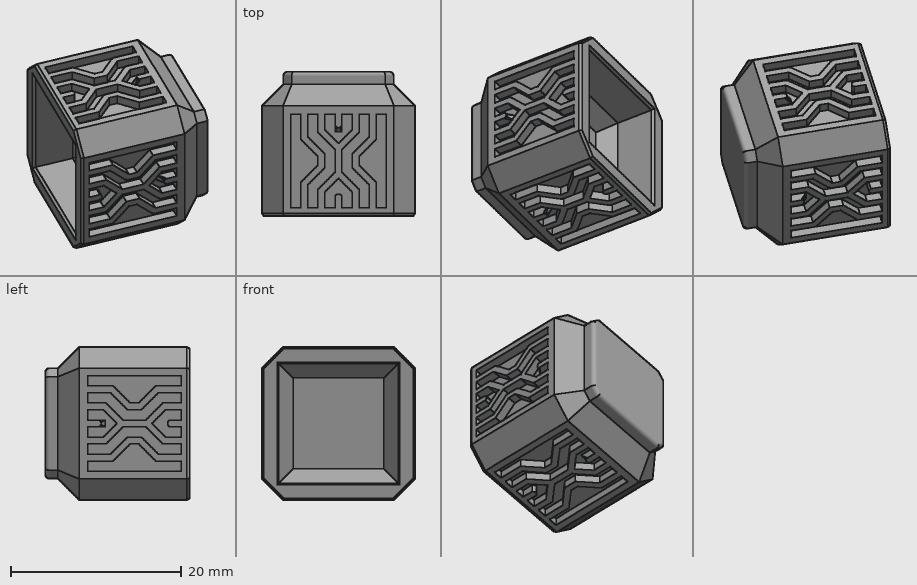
import cadquery as cq
import math

block_width = 18.0
block_corner = 2.48
block_length = 13.0
front_bevel_inset = 0.2
front_bevel_depth = 0.35

taper_length = 2.5
neck_width = block_width - 2 * taper_length
neck_corner = 1.0
neck_length = 1.5
neck_round = 0.5

cavity_width = 14.0
cavity_bevel = 0.2
cavity_bevel_depth = 0.36
cavity_bottom_width = 10.7
cavity_straight_depth = 5.0
cavity_depth = 7.0

recess_width = 11.2
recess_length = 11.0
recess_front_margin = 1.0
recess_depth = 1.12
recess_center_y = recess_front_margin + recess_length / 2

rib_width = 0.8
rib_pitch = 2.02
inner_waist = 1.5
outer_waist = 0.67
tab_tip = 3.9
tab_rise = 0.23
ramp_toe = 3.4
ramp_drop = 0.25
ramp_corner_width = 0.23
ramp_corner_length = 0.2


def depth_plane(y):
    """Workplane across the part at depth y, with its normal toward +Y."""
    return cq.Workplane(cq.Plane(origin=(0, y, 0), xDir=(1, 0, 0), normal=(0, 1, 0)))


def octagon(width, corner):
    """Points of a square with its four corners cut at 45 degrees."""
    half = width / 2
    flat = half - corner
    return [
        (half, flat), (flat, half), (-flat, half), (-half, flat),
        (-half, -flat), (-flat, -half), (flat, -half), (half, -flat),
    ]


def octagon_loft(y_start, start, y_end, end):
    """Straight-sided solid between two octagons, each given as (width, corner)."""
    return (
        depth_plane(y_start).polyline(octagon(*start)).close()
        .workplane(offset=y_end - y_start).polyline(octagon(*end)).close()
        .loft(ruled=True, combine=True)
    )


def square_loft(y_start, width_start, y_end, width_end):
    """Flat-sided solid between two centred squares."""
    return (
        depth_plane(y_start).rect(width_start, width_start)
        .workplane(offset=y_end - y_start).rect(width_end, width_end)
        .loft(ruled=True, combine=True)
    )


def make_body():
    section = (block_width, block_corner)
    neck_section = (neck_width, neck_corner)
    bevel_section = (
        block_width - 2 * front_bevel_inset,
        block_corner - front_bevel_inset * (2 - math.sqrt(2)),
    )
    taper_end = block_length + taper_length
    bevel = octagon_loft(0, bevel_section, front_bevel_depth, section)
    prism = octagon_loft(front_bevel_depth, section, block_length, section)
    taper = octagon_loft(block_length, section, taper_end, neck_section)
    neck = (
        depth_plane(taper_end).polyline(octagon(*neck_section)).close()
        .extrude(neck_length).faces(">Y").edges().fillet(neck_round)
    )
    return bevel.union(prism).union(taper).union(neck)


def make_cavity():
    mouth = square_loft(0, cavity_width + 2 * cavity_bevel, cavity_bevel_depth, cavity_width)
    straight = square_loft(cavity_bevel_depth, cavity_width, cavity_straight_depth, cavity_width)
    bottom = square_loft(cavity_straight_depth, cavity_width, cavity_depth, cavity_bottom_width)
    return mouth.union(straight).union(bottom)


def recess_plane():
    """Plane of the recess floor on the +Z side, centred on the recess."""
    return cq.Workplane("XY", origin=(0, recess_center_y, block_width / 2 - recess_depth))


def make_bent_rib(x_waist, half_waist, side):
    """Rib that runs straight at its waist and steps outward one pitch at 45 degrees."""
    bend_angle = 45
    miter = math.tan(math.radians(bend_angle / 2))
    half_length = recess_length / 2

    def edge(offset):
        x_inner = x_waist + offset
        x_outer = x_inner + rib_pitch
        y_inner = half_waist - offset * miter
        y_outer = y_inner + rib_pitch
        return [
            (side * x_outer, -half_length), (side * x_outer, -y_outer), (side * x_inner, -y_inner),
            (side * x_inner, y_inner), (side * x_outer, y_outer), (side * x_outer, half_length),
        ]

    outline = edge(-rib_width / 2) + edge(rib_width / 2)[::-1]
    return recess_plane().polyline(outline).close().extrude(recess_depth)


def make_tab(direction):
    """Short round-ended rib on the centre line, growing from one end of the recess."""
    half = rib_width / 2
    y_end = direction * recess_length / 2
    y_straight = direction * (tab_tip + tab_rise)
    return (
        recess_plane().moveTo(-half, y_end).lineTo(-half, y_straight)
        .threePointArc((0, direction * tab_tip), (half, y_straight))
        .lineTo(half, y_end).close().extrude(recess_depth)
    )


def make_ramp():
    """Faceted foot at the rear tab's end, spreading to a square toe on the recess floor."""
    half = rib_width / 2
    flat = half - ramp_corner_width
    y_corner = tab_tip + ramp_corner_length
    y_back = tab_tip + rib_width
    height = recess_depth - ramp_drop
    toe_left, toe_right = (-half, ramp_toe, 0), (half, ramp_toe, 0)
    base_left, base_right = (-half, y_back, 0), (half, y_back, 0)
    back_left, back_right = (-half, y_back, height), (half, y_back, height)
    corner_left, corner_right = (-half, y_corner, height), (half, y_corner, height)
    tip_left, tip_right = (-flat, tab_tip, height), (flat, tab_tip, height)
    outlines = [
        [toe_left, toe_right, base_right, base_left],
        [base_left, base_right, back_right, back_left],
        [back_left, back_right, corner_right, tip_right, tip_left, corner_left],
        [toe_left, base_left, back_left, corner_left],
        [toe_right, base_right, back_right, corner_right],
        [toe_left, corner_left, tip_left],
        [toe_right, corner_right, tip_right],
        [toe_left, toe_right, tip_right, tip_left],
    ]
    faces = [
        cq.Face.makeFromWires(cq.Wire.makePolygon([cq.Vector(*p) for p in outline], close=True))
        for outline in outlines
    ]
    ramp = cq.Solid.makeSolid(cq.Shell.makeShell(faces))
    return recess_plane().newObject([ramp.moved(cq.Location(recess_plane().plane))])


def make_recess():
    """Material removed from the +Z side: a rectangle less the ribs."""
    recess = recess_plane().rect(recess_width, recess_length).extrude(recess_depth)
    for side in (-1, 1):
        recess = recess.cut(make_bent_rib(0, inner_waist, side))
        recess = recess.cut(make_bent_rib(rib_pitch, outer_waist, side))
        recess = recess.cut(make_tab(side))
    return recess.cut(make_ramp())


result = make_body().cut(make_cavity())
side_recess = make_recess()
for quarter_turn in range(4):
    result = result.cut(side_recess.rotate((0, 0, 0), (0, 1, 0), 90 * quarter_turn))